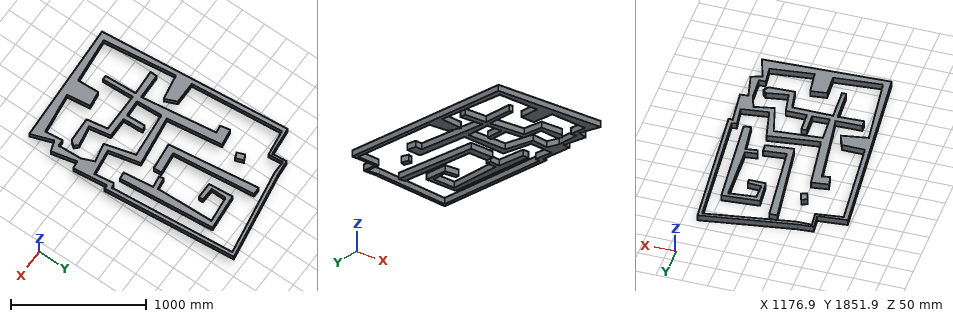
import cadquery as cq


plan_width = 1176.89
plan_length = 1851.87
wall_height = 50.0

south_west_corner = (150, 0)
north_west_corner = (0, 1575)
north_west_notch = [(229, 1598), (218, 1720)]
north_wall_bend = (342, 1731)
north_east_corner = (1076, plan_length)
east_wall_jogs = [
    (plan_width, 752),
    (1145, 752),
    (plan_width, 469),
    (1114, 461),
    (1161, 255),
    (1075, 225),
]
south_east_corner = (1138, 44)

outer_face = [
    south_west_corner,
    north_west_corner,
    *north_west_notch,
    north_wall_bend,
    north_east_corner,
    *east_wall_jogs,
    south_east_corner,
]

north_wall_inside = [(40, 1550), (252, 1579), (239, 1701), (348, 1701), (1050, 1820)]
east_wall_inside = [(1140, 794), (1101, 785), (1124, 623)]

partition_north_face = [(912, 594), (853, 853), (448, 798)]
spine_head = [(385, 1254), (251, 1235), (267, 1153), (329, 1162)]

west_arm = [(415, 543), (210, 538), (210, 482), (414, 492)]
spine_tail = [(428, 230), (462, 230), (450, 491)]

east_arm_south_face = [(767, 491), (797, 319), (998, 328)]
east_arm_point = (1027, 367)
east_arm_north_face = [(999, 396), (832, 367), (800, 542)]
stub = [(637, 542), (629, 708), (589, 701), (596, 544)]

partition_south_face = [(461, 538), (449, 750), (818, 785), (886, 537), (1038, 569)]
south_east_inside = [(1079, 469), (1089, 275), (1037, 275), (1054, 129)]

south_block = [(718, 87), (693, 279), (567, 263), (575, 86)]
south_west_inside = (201, 51)
west_block = [(125, 650), (331, 687), (289, 786), (113, 786)]

inner_face = [
    *north_wall_inside,
    *east_wall_inside,
    *partition_north_face,
    *spine_head,
    *west_arm,
    *spine_tail,
    *east_arm_south_face,
    east_arm_point,
    *east_arm_north_face,
    *stub,
    *partition_south_face,
    *south_east_inside,
    *south_block,
    south_west_inside,
    *west_block,
]

pillar_outline = [(351, 1438), (395, 1460), (418, 1394), (374, 1377)]

foot_wall_outline = [(513, 1678), (575, 1678), (650, 1000), (828, 1020), (833, 954), (612, 930)]

hook_outer_face = [(700, 1360), (682, 1561), (974, 1587), (1046, 799), (990, 793)]
hook_spur = [(958, 1038), (865, 1024), (856, 1063), (950, 1074)]
hook_inner_face = [(933, 1548), (722, 1524), (722, 1401)]
hook_tip = [(830, 1396), (830, 1360)]
hook_wall_outline = hook_outer_face + hook_spur + hook_inner_face + hook_tip


def upright_wall(outline):
    """Solid of the common wall height standing on Z = 0 over a closed outline."""
    return cq.Workplane("XY").polyline(outline).close().extrude(wall_height)


enclosing_wall = upright_wall(outer_face).cut(upright_wall(inner_face))
pillar = upright_wall(pillar_outline)
foot_wall = upright_wall(foot_wall_outline)
hook_wall = upright_wall(hook_wall_outline)

result = cq.Compound.makeCompound(
    [
        enclosing_wall.val(),
        pillar.val(),
        foot_wall.val(),
        hook_wall.val(),
    ]
)